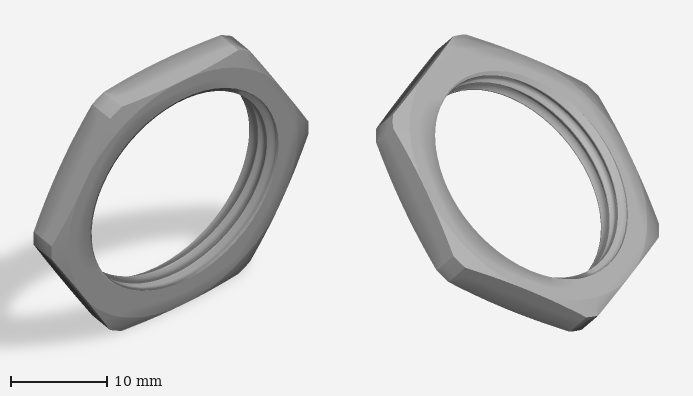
import cadquery as cq
import math

thickness = 4.0
across_flats = 30.0
across_corners = across_flats / math.cos(math.pi / 6)
rounded_corner_radius = 16.843

bevel_face_radius = across_flats / 2
bevel_depth = 0.465

pitch = 1.5
bore_radius = 11.8
root_radius = 12.57
root_width = 0.5
flank_angle = math.radians(30)
thread_start_angle = 180
overcut = 0.03
turns_outside = 1

half_thickness = thickness / 2


def turned_blank():
    """Disc with bevelled rims, revolved about X."""
    profile = (
        cq.Workplane("XY")
        .moveTo(-half_thickness, 0)
        .lineTo(-half_thickness, bevel_face_radius)
        .lineTo(-half_thickness + bevel_depth, rounded_corner_radius)
        .lineTo(half_thickness - bevel_depth, rounded_corner_radius)
        .lineTo(half_thickness, bevel_face_radius)
        .lineTo(half_thickness, 0)
        .close()
    )
    return profile.revolve(360, (0, 0, 0), (1, 0, 0))


def hexagon():
    """Hexagonal prism with corners on +Y and -Y and flats on +Z and -Z."""
    return (
        cq.Workplane("YZ")
        .workplane(offset=-half_thickness)
        .polygon(6, across_corners)
        .extrude(thickness)
    )


def bore():
    return (
        cq.Workplane("YZ")
        .workplane(offset=-half_thickness)
        .circle(bore_radius)
        .extrude(thickness)
    )


def thread_groove():
    """Right-hand trapezoidal groove that runs out past both end faces."""
    mouth_radius = bore_radius - overcut
    root_half = root_width / 2
    mouth_half = root_half + (root_radius - mouth_radius) * math.tan(flank_angle)
    turns = math.ceil(thickness / pitch) + 2 * turns_outside
    helix = cq.Wire.makeHelix(pitch, turns * pitch, bore_radius)
    groove = (
        cq.Workplane("XZ")
        .moveTo(mouth_radius, -mouth_half)
        .lineTo(root_radius, -root_half)
        .lineTo(root_radius, root_half)
        .lineTo(mouth_radius, mouth_half)
        .close()
        .sweep(cq.Workplane(helix), isFrenet=True)
    )
    return (
        groove.rotate((0, 0, 0), (0, 0, 1), 90)
        .rotate((0, 0, 0), (0, 1, 0), 90)
        .rotate((0, 0, 0), (1, 0, 0), thread_start_angle)
        .translate((-half_thickness - turns_outside * pitch, 0, 0))
    )


result = turned_blank().intersect(hexagon()).cut(bore()).cut(thread_groove()).solids()